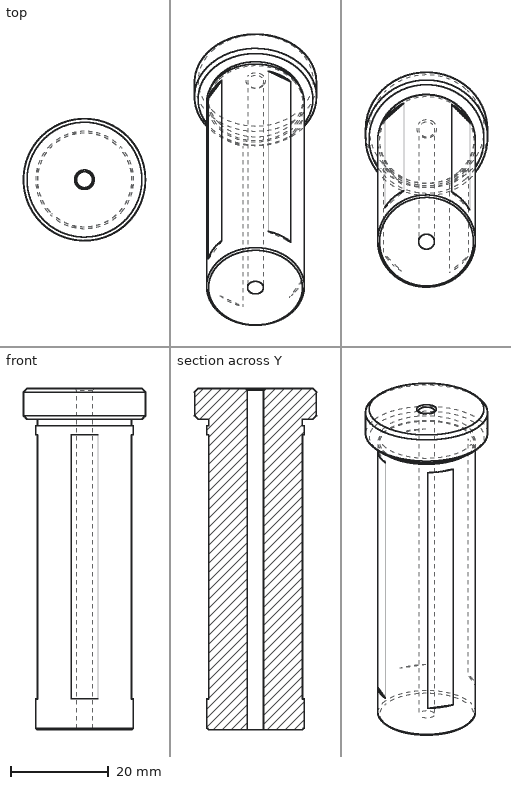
import cadquery as cq

total_length = 69.85
head_diameter = 25.0
head_height = 6.35
head_chamfer = 0.75

shank_diameter = 20.0
shank_end_chamfer = 0.4
neck_diameter = 19.3
neck_height = 1.25

flat_count = 4
flat_distance = 9.63
flat_bottom = 6.35
flat_top = 60.325

hole_diameter = 3.25
hole_mouth_diameter = 4.0
countersink_angle = 90

head_bottom = total_length - head_height
neck_bottom = head_bottom - neck_height


def make_head():
    """Round head, chamfered on both rims."""
    base = cq.Workplane("XY").workplane(offset=head_bottom)
    head = base.circle(head_diameter / 2).extrude(head_height)
    return head.edges().chamfer(head_chamfer)


def make_shank():
    """Round shank with a chamfered free end and a narrower neck under the head."""
    shank = cq.Workplane("XY").circle(shank_diameter / 2).extrude(neck_bottom)
    shank = shank.faces("<Z").edges().chamfer(shank_end_chamfer)
    return shank.faces(">Z").workplane().circle(neck_diameter / 2).extrude(neck_height)


def make_flat_cutter(angle):
    """Block that cuts one flat on the shank, turned about the axis by angle."""
    block = cq.Workplane("XY").box(
        shank_diameter / 2,
        shank_diameter,
        flat_top - flat_bottom,
        centered=(False, True, False),
    )
    block = block.translate((flat_distance, 0, flat_bottom))
    return block.rotate((0, 0, 0), (0, 0, 1), angle)


def cut_axial_hole(body):
    """Through hole, countersunk at the head."""
    top_face = body.faces(">Z").workplane(origin=(0, 0, 0))
    return top_face.cskHole(hole_diameter, hole_mouth_diameter, countersink_angle)


result = make_shank().union(make_head())
for index in range(flat_count):
    result = result.cut(make_flat_cutter(index * 360 / flat_count))
result = cut_axial_hole(result)